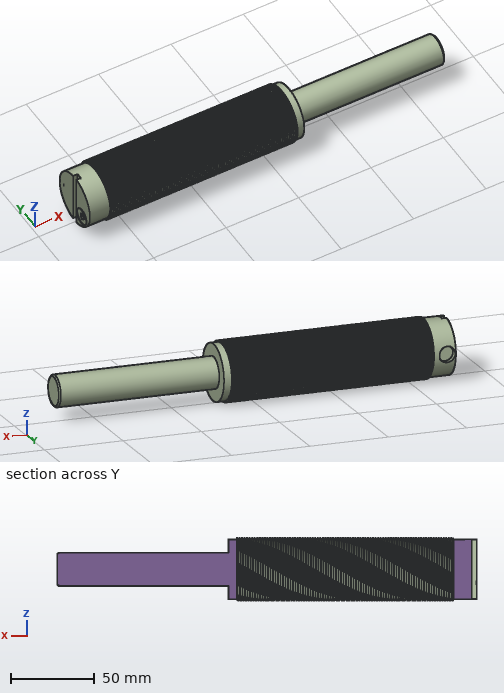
import cadquery as cq
total_length = 250.0
body_length = 148.0
body_diameter = 35.84
rod_diameter = 20.0
rod_chamfer = 1.0

thread_start = 14.0
thread_pitch = 1.5
thread_turn = -120.0
slice_turns = 2
slice_count = 43
slice_length = slice_turns * thread_pitch
thread_end = thread_start + slice_count * slice_length
thread_major_diameter = 37.6
thread_root_diameter = 35.7
thread_base_width = 1.3
thread_crest_width = 0.2
thread_embed = 0.1

slot_width = 4.0
slot_depth = 3.0

recess_y = -8.0
recess_z = -8.0
recess_diameter = 11.0
recess_depth = 0.3
socket_width = 3.5
socket_depth = 5.0

pocket_x = 5.5
pocket_diameter = 10.0
pocket_floor_y = 14.0


def x_cylinder(diameter, start, end, y=0.0, z=0.0):
    """Cylinder along X between two X positions."""
    return cq.Workplane("YZ", origin=(start, y, z)).circle(diameter / 2).extrude(end - start)


def make_ridge():
    """Helical ridge that overruns a thread slice by one turn at each end."""
    foot_radius = thread_root_diameter / 2 - thread_embed
    crest_radius = thread_major_diameter / 2
    path = cq.Wire.makeHelix(thread_pitch, slice_length + 2 * thread_pitch, foot_radius)
    profile = (
        cq.Workplane("XZ")
        .moveTo(foot_radius, -thread_base_width / 2)
        .lineTo(crest_radius, -thread_crest_width / 2)
        .lineTo(crest_radius, thread_crest_width / 2)
        .lineTo(foot_radius, thread_base_width / 2)
        .close()
    )
    ridge = profile.sweep(cq.Workplane(obj=path), isFrenet=True)
    return ridge.rotate((0, 0, 0), (0, 1, 0), 90).translate((-thread_pitch, 0, 0))


def make_threaded_length():
    """Threaded rod whose skin repeats that of one slice, closed by a flat cap at each end."""
    core = x_cylinder(thread_root_diameter, -thread_pitch, slice_length + thread_pitch)
    trim = x_cylinder(2 * thread_major_diameter, 0, slice_length)
    thread_slice = core.union(make_ridge(), clean=False).intersect(trim, clean=False)
    start_cap = thread_slice.faces("<X").val()
    end_cap = thread_slice.faces(">X").val()
    skin = thread_slice.faces("not(<X or >X)").vals()

    shell_faces = [start_cap, end_cap.translate(cq.Vector((slice_count - 1) * slice_length, 0, 0))]
    for index in range(slice_count):
        offset = cq.Vector(index * slice_length, 0, 0)
        shell_faces += [face.translate(offset) for face in skin]
    threaded = cq.Solid.makeSolid(cq.Shell.makeShell(shell_faces))
    threaded_length = cq.Workplane(obj=threaded).rotate((0, 0, 0), (1, 0, 0), thread_turn)
    return threaded_length.translate((thread_start, 0, 0))


def make_head():
    head = x_cylinder(body_diameter, 0, thread_start)
    return head.cut(make_slot()).cut(make_screw_recess()).cut(make_pocket())


def make_rod():
    """Plain collar behind the thread and the chamfered rod."""
    collar = x_cylinder(body_diameter, thread_end, body_length)
    rod = x_cylinder(rod_diameter, body_length, total_length).faces(">X").chamfer(rod_chamfer)
    return collar.union(rod)


def make_slot():
    return cq.Workplane("XY").box(2 * slot_depth, slot_width, 2 * body_diameter)


def make_screw_recess():
    recess = x_cylinder(recess_diameter, 0, recess_depth, recess_y, recess_z)
    hexagon = cq.Workplane("YZ", origin=(0, recess_y, recess_z))
    socket = hexagon.polygon(6, socket_width, circumscribed=True).extrude(socket_depth)
    return recess.union(socket)


def make_pocket():
    depth = body_diameter / 2 - pocket_floor_y
    floor = cq.Workplane("XZ", origin=(pocket_x, pocket_floor_y, 0))
    return floor.circle(pocket_diameter / 2).extrude(-depth)


result = make_threaded_length().union(make_head()).union(make_rod())